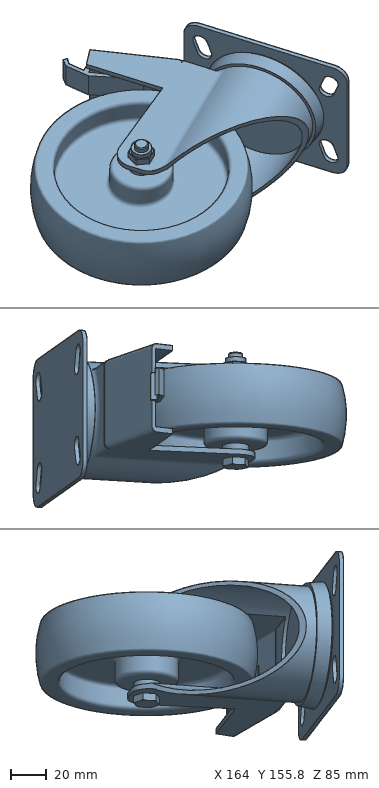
import cadquery as cq
import math


wheel_radius = 62.5
wheel_half_width = 17.5
tread_edge_radius = 59.9
tread_edge_round = 1.5
rim_inner_radius = 49.2
hub_radius = 17.9
web_half_thickness = 3.5
wheel_round = 2.3

spacer_diameter = 15.0
hex_across_flats = 13.0
hex_height = 4.3
hex_chamfer = 0.7
collar_diameter = 11.6
collar_height = 2.8
stud_diameter = 8.0
stud_height = 3.1
stud_chamfer = 0.7

swivel_x = 36.9
plate_top = 93.3
plate_thickness = 2.5
plate_length = 100.0
plate_width = 85.0
plate_corner_radius = 9.0
slot_diameter = 9.0
slot_center_distance = 8.2
slot_tilt = 71.6
slot_offset_x = 38.7
slot_offset_z = 26.2

head_top_diameter = 72.2
head_bottom_diameter = 69.5
neck_height = 0.8
head_height = 8.4

tube_diameter = 66.0
tube_bore = 61.0
fork_half_width = 25.5
sheet_thickness = 3.0
fork_top = 79.5
fork_edge_round = 3.0
tube_blend_radius = 5.0
fork_left_top = -8.0
fork_left_bottom = -15.1
fork_right_bottom = 9.8
leg_bottom = -9.8
leg_corner_radius = 10.7
slant_top = 75.8

channel_top = 79.2
channel_bend_x = -11.5
channel_tip = (-60.0, 66.6)
channel_foot = (-57.0, 53.6)
channel_web = 2.5
channel_outer_round = 3.0
channel_inner_round = 0.7

pedal_half_width = 7.7
lug_top = 67.8
lug_round = 0.7
pedal_outline = [
    (-29.5, 72.0),
    (-29.5, 71.5),
    (-59.0, 61.5),
    (-73.7, 63.7),
    (-77.1, 67.5),
    (-75.1, 69.2),
    (-72.8, 66.0),
    (-63.2, 64.5),
    (-63.2, lug_top),
    (-60.7, lug_top),
    (-59.9, 64.3),
]

neck_top = plate_top - plate_thickness
head_top = neck_top - neck_height
head_bottom = head_top - head_height
leg_inner = fork_half_width - sheet_thickness


def swivel_disc(diameter, bottom, top):
    """Cylinder on the swivel axis between two heights along Y."""
    return (
        cq.Workplane("XZ", origin=(swivel_x, top, 0))
        .circle(diameter / 2)
        .extrude(top - bottom)
    )


def slab(points, half_width):
    """Outline in XY extruded to both sides of Z = 0."""
    return cq.Workplane("XY").polyline(points).close().extrude(half_width, both=True)


def make_wheel():
    blank = (
        cq.Workplane("XZ")
        .moveTo(0, -wheel_half_width)
        .lineTo(tread_edge_radius, -wheel_half_width)
        .threePointArc((wheel_radius, 0), (tread_edge_radius, wheel_half_width))
        .lineTo(0, wheel_half_width)
        .close()
        .revolve(360, (0, 0, 0), (0, 1, 0))
        .faces("|Z")
        .edges()
        .fillet(tread_edge_round)
    )
    pocket = (
        cq.Workplane("XY", origin=(0, 0, web_half_thickness))
        .circle(rim_inner_radius)
        .circle(hub_radius)
        .extrude(wheel_half_width - web_half_thickness)
        .faces("<Z")
        .edges()
        .fillet(wheel_round)
    )
    wheel = blank.cut(pocket).cut(pocket.mirror("XY"))
    mouth_radii = (rim_inner_radius, hub_radius)
    mouth_edges = (
        wheel.faces("|Z")
        .edges("%CIRCLE")
        .filter(lambda edge: abs(edge.Center().z) > web_half_thickness + wheel_round)
        .filter(lambda edge: any(math.isclose(edge.radius(), r) for r in mouth_radii))
    )
    return mouth_edges.fillet(wheel_round)


def make_hex():
    """Nut or bolt head standing on Z = 0, with its corners chamfered at the free end."""
    corner_diameter = hex_across_flats / math.cos(math.pi / 6)
    turned = (
        cq.Workplane("XY")
        .circle(corner_diameter / 2)
        .extrude(hex_height)
        .faces(">Z")
        .chamfer(hex_chamfer / 2, hex_chamfer)
    )
    return (
        cq.Workplane("XY")
        .transformed(rotate=(0, 0, 90))
        .polygon(6, corner_diameter)
        .extrude(hex_height)
        .intersect(turned)
    )


def make_axle():
    spacer = cq.Workplane("XY").circle(spacer_diameter / 2).extrude(fork_half_width, both=True)
    nut = (
        make_hex()
        .faces(">Z")
        .workplane()
        .circle(collar_diameter / 2)
        .extrude(collar_height)
        .faces(">Z")
        .workplane()
        .circle(stud_diameter / 2)
        .extrude(stud_height)
        .faces(">Z")
        .chamfer(stud_chamfer)
    )
    head = make_hex().mirror("XY")
    return (
        spacer
        .union(nut.translate((0, 0, fork_half_width)))
        .union(head.translate((0, 0, -fork_half_width)))
    )


def make_plate():
    plate = (
        cq.Workplane("XZ", origin=(swivel_x, plate_top, 0))
        .rect(plate_length, plate_width)
        .extrude(plate_thickness)
        .edges("|Y")
        .fillet(plate_corner_radius)
    )
    for side_x in (-1, 1):
        for side_z in (-1, 1):
            slot = (
                cq.Workplane("XZ", origin=(swivel_x, plate_top, 0))
                .center(side_x * slot_offset_x, side_z * slot_offset_z)
                .transformed(rotate=(0, 0, side_x * side_z * slot_tilt))
                .slot2D(slot_center_distance + slot_diameter, slot_diameter)
                .extrude(plate_thickness)
            )
            plate = plate.cut(slot)
    return plate


def make_swivel_head():
    neck = swivel_disc(head_bottom_diameter, head_top, neck_top)
    cone = (
        cq.Workplane("XZ", origin=(swivel_x, head_top, 0))
        .circle(head_top_diameter / 2)
        .workplane(offset=head_height)
        .circle(head_bottom_diameter / 2)
        .loft()
    )
    return neck.union(cone)


def leg_box(half_width, top):
    """Block around both fork legs, reaching from their left edge to the swivel axis."""
    return slab(
        [
            (fork_left_bottom, leg_bottom),
            (swivel_x, leg_bottom),
            (swivel_x, top),
            (fork_left_bottom, top),
        ],
        half_width,
    )


def make_fork_outside():
    """Leg block merged with the tube through concave blends along their seam."""
    body = (
        leg_box(fork_half_width, fork_top)
        .edges("|X and >Y")
        .fillet(fork_edge_round)
        .union(swivel_disc(tube_diameter, leg_bottom, neck_top))
    )
    seam_x = swivel_x - math.sqrt((tube_diameter / 2) ** 2 - fork_half_width**2)
    seam_edges = body.edges("|Y").filter(lambda edge: math.isclose(edge.Center().x, seam_x))
    return seam_edges.fillet(tube_blend_radius)


def make_fork_side():
    """Side outline of the fork: sloping leg edge, rounded foot and slanted cut."""
    tube_right = swivel_x + tube_diameter / 2
    outline = [
        (fork_left_top, fork_top),
        (fork_left_bottom, leg_bottom),
        (fork_right_bottom, leg_bottom),
        (tube_right, slant_top),
        (tube_right, head_bottom),
        (fork_left_top, head_bottom),
    ]
    return slab(outline, tube_diameter / 2).edges("|Z and <Y").fillet(leg_corner_radius)


def make_fork():
    tube_ceiling = head_bottom - sheet_thickness
    inside = leg_box(leg_inner, fork_top - sheet_thickness).union(
        swivel_disc(tube_bore, leg_bottom, tube_ceiling)
    )
    return make_fork_outside().cut(inside).intersect(make_fork_side())


def channel_block(half_width, edge_round):
    """Solid channel outline with the long edges of its upper faces rounded."""
    block = slab(
        [
            (fork_left_top, channel_top),
            (channel_bend_x, channel_top),
            channel_tip,
            channel_foot,
            (fork_left_top, channel_foot[1]),
        ],
        half_width,
    )
    long_edges = (
        block.edges("not |Z")
        .filter(lambda edge: edge.Center().y > channel_tip[1])
        .filter(lambda edge: edge.Center().x < fork_left_top)
    )
    return long_edges.fillet(edge_round)


def make_channel():
    hollow = channel_block(leg_inner, channel_inner_round).translate((0, -channel_web, 0))
    return channel_block(fork_half_width, channel_outer_round).cut(hollow)


def make_pedal():
    pedal = slab(pedal_outline, pedal_half_width)
    lug_edges = pedal.edges("|Z").filter(lambda edge: math.isclose(edge.Center().y, lug_top))
    return lug_edges.fillet(lug_round)


result = (
    make_wheel()
    .union(make_axle())
    .union(make_fork())
    .union(make_swivel_head())
    .union(make_plate())
    .union(make_channel())
    .union(make_pedal())
)